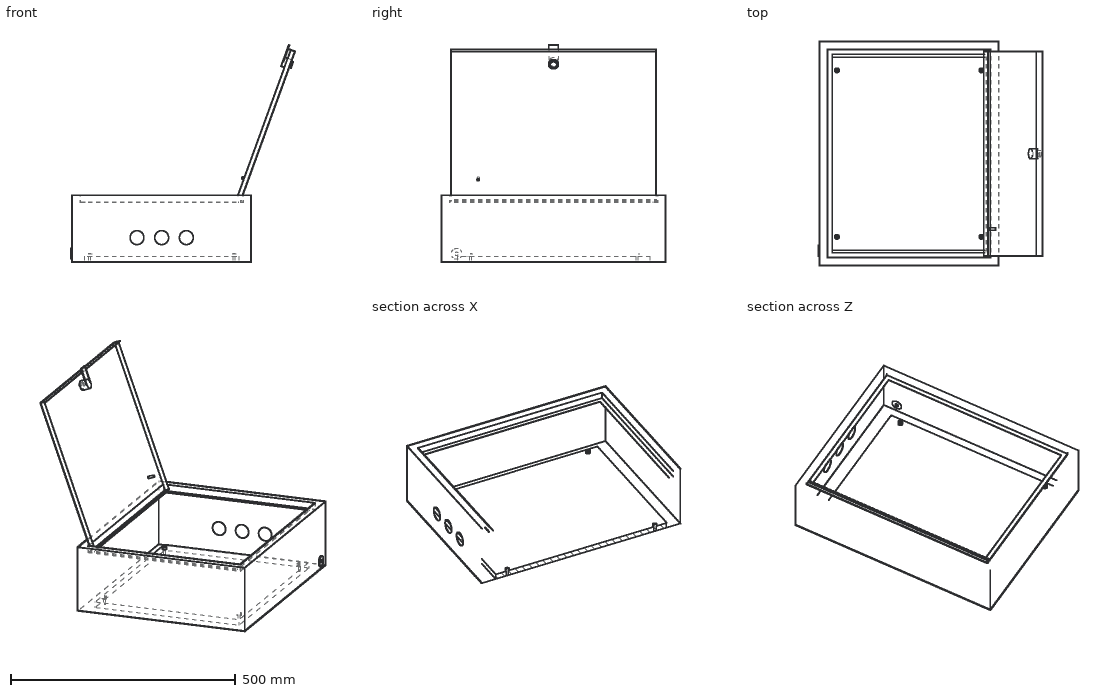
import cadquery as cq
import math

OVERALL_X = 500.0
HOUSING_X = 400.0
HOUSING_Y = 500.0
HOUSING_Z = 150.0
WALL = 1.0
RIM_WIDTH = 19.0
REBATE_DEPTH = 15.0
LEDGE_WIDTH = 10.0

CABLE_HOLE_DIAMETER = 31.0
CABLE_HOLE_PITCH = 55.0
CABLE_HOLE_COUNT = 3
CABLE_HOLE_Z = 55.0

BOSS_DIAMETER = 24.0
BOSS_HEIGHT = 2.5
BOSS_HOLE_DIAMETER = 7.5
BOSS_Y = -216.5
BOSS_Z = 19.5

PLATE_X = 344.0
PLATE_Y = 430.0
PLATE_TOP = 14.0

BOLT_X = 161.0
BOLT_Y = 185.5
BOLT_SHANK_DIAMETER = 4.5
BOLT_HEAD_DIAMETER = 10.0
BOLT_HEAD_HEIGHT = 5.0
BOLT_TIP_LENGTH = 1.0

DOOR_LENGTH = 355.0
DOOR_WIDTH = 457.0
FLANGE_DEPTH = 10.5
LATCH_FLANGE_DEPTH = 15.0
DOOR_LEAN = 20.0
DOOR_REACH_X = OVERALL_X - HOUSING_X / 2 - BOSS_HEIGHT
DOOR_FOOT_Z = 136.5

STUD_DIAMETER = 5.0
STUD_TIP = 15.0
STUD_ALONG = 50.0
STUD_Y = -168.0

LOCK_ALONG = 324.0
LOCK_DIAMETER = 22.0
LOCK_TAB_TIP = 363.5
LOCK_TAB_BASE = 16.5
LOCK_TAB_THICKNESS = 2.0
LOCK_HOLE_DIAMETER = 15.0
LOCK_KNOB_HEIGHT = 4.0


def block(x, y, bottom, top):
    """Box centred on the Z axis between two heights."""
    return cq.Workplane("XY").workplane(offset=bottom).rect(x, y).extrude(top - bottom)


def rod(x, y, diameter, bottom, top):
    """Vertical cylinder between two heights."""
    start = cq.Workplane("XY").workplane(offset=bottom).center(x, y)
    return start.circle(diameter / 2).extrude(top - bottom)


def make_housing():
    ledge_z = HOUSING_Z - REBATE_DEPTH
    rebate_x = HOUSING_X - 2 * RIM_WIDTH
    rebate_y = HOUSING_Y - 2 * RIM_WIDTH
    mouth_x = rebate_x - 2 * LEDGE_WIDTH
    mouth_y = rebate_y - 2 * LEDGE_WIDTH

    body = block(HOUSING_X, HOUSING_Y, 0, HOUSING_Z)
    cavity = block(HOUSING_X - 2 * WALL, HOUSING_Y - 2 * WALL, WALL, HOUSING_Z - WALL)
    rebate_sleeve = block(rebate_x + 2 * WALL, rebate_y + 2 * WALL, ledge_z - WALL, HOUSING_Z)
    body = body.cut(cavity.cut(rebate_sleeve))
    body = body.cut(block(rebate_x, rebate_y, ledge_z, HOUSING_Z))
    body = body.cut(block(mouth_x, mouth_y, WALL, ledge_z))

    cable_holes = (
        cq.Workplane("XZ", origin=(0, -HOUSING_Y / 2, CABLE_HOLE_Z))
        .rarray(CABLE_HOLE_PITCH, 5, CABLE_HOLE_COUNT, 1)
        .circle(CABLE_HOLE_DIAMETER / 2)
        .extrude(-WALL)
    )
    boss_plane = cq.Workplane("YZ", origin=(-HOUSING_X / 2, BOSS_Y, BOSS_Z))
    boss = boss_plane.circle(BOSS_DIAMETER / 2).extrude(-BOSS_HEIGHT)
    boss_hole = boss_plane.circle(BOSS_HOLE_DIAMETER / 2).extrude(BOSS_HEIGHT + WALL, both=True)
    return body.cut(cable_holes).union(boss).cut(boss_hole)


def bolt_positions():
    return [(x, y) for x in (-BOLT_X, BOLT_X) for y in (-BOLT_Y, BOLT_Y)]


def make_plate():
    plate = block(PLATE_X, PLATE_Y, WALL, PLATE_TOP)
    for x, y in bolt_positions():
        plate = plate.cut(rod(x, y, BOLT_SHANK_DIAMETER, WALL, PLATE_TOP))
    return plate


def make_bolt(x, y):
    head_top = PLATE_TOP + BOLT_HEAD_HEIGHT
    shank = rod(x, y, BOLT_SHANK_DIAMETER, WALL, head_top + BOLT_TIP_LENGTH)
    return shank.union(rod(x, y, BOLT_HEAD_DIAMETER, PLATE_TOP, head_top))


def swing_open(flat):
    """Turn a part from the flat layout to its place on the open door."""
    foot_x = DOOR_REACH_X - DOOR_LENGTH * math.sin(math.radians(DOOR_LEAN))
    return flat.rotate((0, 0, 0), (0, 1, 0), DOOR_LEAN - 90).translate((foot_x, 0, DOOR_FOOT_Z))


def make_door():
    mid = DOOR_LENGTH / 2
    pan = block(DOOR_LENGTH, DOOR_WIDTH, 0, FLANGE_DEPTH)
    pan = pan.cut(block(DOOR_LENGTH - 2 * WALL, DOOR_WIDTH - 2 * WALL, WALL, FLANGE_DEPTH))
    latch_flange = block(WALL, DOOR_WIDTH, 0, LATCH_FLANGE_DEPTH).translate((mid - WALL / 2, 0, 0))
    door = pan.union(latch_flange).translate((mid, 0, 0))
    door = door.union(rod(STUD_ALONG, STUD_Y, STUD_DIAMETER, 0, STUD_TIP))
    door = door.cut(rod(LOCK_ALONG, 0, LOCK_HOLE_DIAMETER, 0, WALL))
    return swing_open(door)


def make_lock():
    tab_top = LOCK_TAB_BASE + LOCK_TAB_THICKNESS
    tab_length = LOCK_TAB_TIP - LOCK_ALONG
    knob = rod(LOCK_ALONG, 0, LOCK_HOLE_DIAMETER, -LOCK_KNOB_HEIGHT, 0)
    neck = rod(LOCK_ALONG, 0, LOCK_HOLE_DIAMETER, 0, WALL)
    barrel = rod(LOCK_ALONG, 0, LOCK_DIAMETER, WALL, LOCK_TAB_BASE)
    tab = block(tab_length, LOCK_DIAMETER, LOCK_TAB_BASE, tab_top)
    tab = tab.translate((LOCK_ALONG + tab_length / 2, 0, 0))
    tab = tab.union(rod(LOCK_ALONG, 0, LOCK_DIAMETER, LOCK_TAB_BASE, tab_top))
    return swing_open(knob.union(neck).union(barrel).union(tab))


housing = make_housing()
plate = make_plate()
bolts = [make_bolt(x, y) for x, y in bolt_positions()]
door = make_door()
lock = make_lock()

result = cq.Compound.makeCompound(
    [housing.val(), plate.val(), *[bolt.val() for bolt in bolts], door.val(), lock.val()]
)